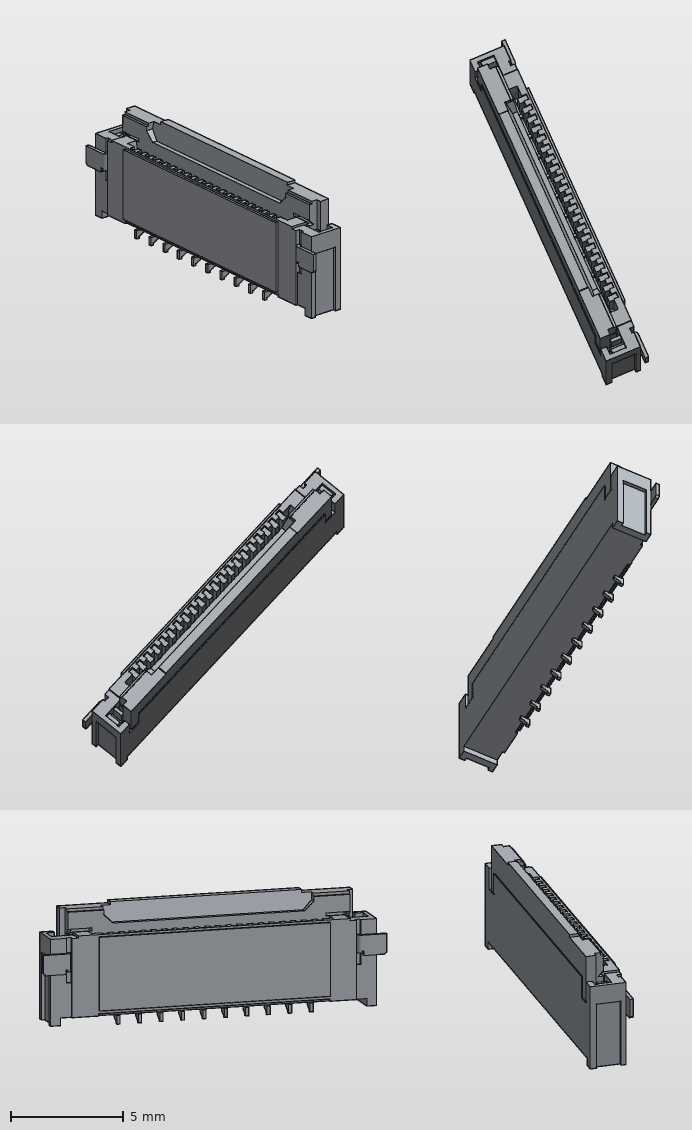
import cadquery as cq


HOUSING_HALF = 7.6
HOUSING_BACK = 1.9
BLOCK_FRONT = 0.22
HOUSING_BOTTOM = 0.4
BLOCK_TOP = 4.02
FOOT_BOTTOM = 0.05
FOOT_INNER = 7.14

WALL_HALF = 6.63
WALL_FRONT = 0.12
WALL_TOP_HALF = 6.34
WALL_TOP = 4.12
PAD_BACK = 1.0
PAD_CHAMFER = 0.1

PLATE_HALF = 5.38
PLATE_BOTTOM = 0.65
RELIEF_TOP = 0.5
RELIEF_DEPTH = 0.1

END_RECESS_FRONT = 0.445
END_RECESS_BACK = 1.61
END_RECESS_TOP = 3.14
END_RECESS_DEPTH = 0.15

POCKET_OUTER = 7.38
POCKET_FRONT = 0.82
POCKET_BACK = 1.61
POCKET_FLOOR = 3.0
LEDGE_INNER = 7.13
LEDGE_BACK = 1.46
LEDGE_TOP = 3.8
RAMP_FOOT = 6.97
RAMP_FOOT_Z = 3.5
GAP_OUTER = 7.0
RIB_OUTER = 6.85
RIB_INNER = 6.69
RIB_BACK = 1.31
RIB_TOP = 3.8

SLOT_HALF = 5.63
SLOT_FRONT = 0.45
SLOT_BACK = 0.88
SLOT_STEP = 0.69
SLOT_FLOOR = 2.5
SLOT_STEP_FLOOR = 3.0
SLOT_LEDGE_TOP = 3.3
SLOT_FLOOR_HALF = 5.5
SLOT_TAPER_BOTTOM = 3.6

CONTACT_PITCH = 0.5
CONTACT_COUNT = 21
CONTACT_WIDTH = 0.26
CONTACT_FRONT = 0.22
CONTACT_BACK = 0.66
CONTACT_TOP = 3.95
BEAM_WIDTH = 0.15
BEAM_TOP = 3.3
TAIL_COUNT = 10
TAIL_PITCH = 2 * CONTACT_PITCH
TAIL_WIDTH = 0.15
TAIL_THICKNESS = 0.15
TAIL_BACK = 0.45
TAIL_BEND_Z = 0.08

BAR_HALF = 6.83
BAR_FRONT_HALF = 6.58
BAR_BACK = 1.85
BAR_SHOULDER = 1.37
BAR_FRONT = 0.95
BAR_TOP = 5.17
BAR_STEP_DEPTH = 0.13
BAR_STEP_Z = 5.04
RIDGE_HALF = 4.46
RIDGE_TOP = 5.3
SCOOP_HALF = 4.9
SCOOP_BOTTOM = 4.42
SCOOP_CORNER_Z = 4.84
SCOOP_BOTTOM_Y = 1.19
SCOOP_TOP_Y = 1.42
NOTCH_INNER = 5.46
NOTCH_STEP = 6.42
NOTCH_TOP = 4.26

TAB_OUTER = 8.0
TAB_BEND = 6.86
TAB_BOTTOM = 2.42
TAB_TOP = 3.35
TAB_THICKNESS = 0.17
TAB_CHAMFER = 0.1
TAB_RELIEF = 6.95
TAB_RELIEF_TOP = 2.62
TAB_ROOT_BOTTOM = 2.53
TAB_SLOT_BOTTOM = 1.98
TAB_SLOT_BACK = 0.33


def box(x0, x1, y0, y1, z0, z1):
    return cq.Workplane("XY").box(x1 - x0, y1 - y0, z1 - z0, centered=False).translate((x0, y0, z0))


def both_ends(shape):
    return shape.union(shape.mirror("YZ"))


def wide_box(half, y0, y1, z0, z1):
    return box(-half, half, y0, y1, z0, z1)


def profile_along_x(points, x0, x1):
    """Extrude an outline of (y, z) points from x0 to x1."""
    return cq.Workplane("YZ").polyline(points).close().extrude(x1 - x0).translate((x0, 0, 0))


def profile_along_y(points, y0, y1):
    """Extrude an outline of (x, z) points from y0 to y1."""
    return cq.Workplane("XZ").polyline(points).close().extrude(y0 - y1).translate((0, y0, 0))


def row(count, pitch):
    return [(i - (count - 1) / 2) * pitch for i in range(count)]


def make_housing():
    body = wide_box(HOUSING_HALF, BLOCK_FRONT, HOUSING_BACK, HOUSING_BOTTOM, BLOCK_TOP)
    foot = box(-HOUSING_HALF, -FOOT_INNER, BLOCK_FRONT, HOUSING_BACK, FOOT_BOTTOM, HOUSING_BOTTOM)
    wall = wide_box(WALL_HALF, WALL_FRONT, HOUSING_BACK, HOUSING_BOTTOM, BLOCK_TOP)
    plate = wide_box(PLATE_HALF, 0, WALL_FRONT, PLATE_BOTTOM, BLOCK_TOP)
    body = body.union(both_ends(foot)).union(wall).union(plate)
    relief = wide_box(PLATE_HALF, 0, WALL_FRONT + RELIEF_DEPTH, HOUSING_BOTTOM, RELIEF_TOP)
    end_recess = box(
        -HOUSING_HALF, -HOUSING_HALF + END_RECESS_DEPTH,
        END_RECESS_FRONT, END_RECESS_BACK, FOOT_BOTTOM, END_RECESS_TOP,
    )
    return body.cut(relief).cut(both_ends(end_recess))


def make_pivot_pocket():
    """Pocket beside the actuator, with a ramped outer ledge and a rib at its front."""
    pocket = box(-POCKET_OUTER, -WALL_TOP_HALF, POCKET_FRONT, POCKET_BACK, POCKET_FLOOR, BLOCK_TOP)
    gap = box(-GAP_OUTER, -WALL_TOP_HALF, POCKET_FRONT, HOUSING_BACK, POCKET_FLOOR, BLOCK_TOP)
    ledge = profile_along_y(
        [
            (-POCKET_OUTER, POCKET_FLOOR),
            (-POCKET_OUTER, LEDGE_TOP),
            (-LEDGE_INNER, LEDGE_TOP),
            (-RAMP_FOOT, RAMP_FOOT_Z),
            (-RAMP_FOOT, POCKET_FLOOR),
        ],
        POCKET_FRONT, LEDGE_BACK,
    )
    back_ramp = profile_along_y(
        [(-POCKET_OUTER, POCKET_FLOOR), (-POCKET_OUTER, LEDGE_TOP), (-RAMP_FOOT, POCKET_FLOOR)],
        LEDGE_BACK, POCKET_BACK,
    )
    rib = box(-RIB_OUTER, -RIB_INNER, POCKET_FRONT, RIB_BACK, POCKET_FLOOR, RIB_TOP)
    return pocket.union(gap).cut(ledge).cut(back_ramp).cut(rib)


def make_wall_top():
    """Raised top of the front wall, chamfered along its back edge."""
    return profile_along_x(
        [
            (WALL_FRONT, BLOCK_TOP - PAD_CHAMFER),
            (WALL_FRONT, WALL_TOP),
            (PAD_BACK, WALL_TOP),
            (PAD_BACK + PAD_CHAMFER, WALL_TOP - PAD_CHAMFER),
            (PAD_BACK + PAD_CHAMFER, BLOCK_TOP - PAD_CHAMFER),
        ],
        -WALL_TOP_HALF, WALL_TOP_HALF,
    )


def make_cable_slot():
    """Stepped slot behind the front wall, with its ends flared outward at the mouth."""
    front = wide_box(SLOT_FLOOR_HALF, SLOT_FRONT, SLOT_STEP, SLOT_FLOOR, WALL_TOP)
    back = wide_box(SLOT_FLOOR_HALF, SLOT_STEP, SLOT_BACK, SLOT_STEP_FLOOR, WALL_TOP)
    ledge = wide_box(SLOT_FLOOR_HALF, SLOT_BACK, BAR_FRONT, SLOT_LEDGE_TOP, WALL_TOP)
    mouth = profile_along_y(
        [
            (-SLOT_HALF, WALL_TOP),
            (-SLOT_FLOOR_HALF, SLOT_TAPER_BOTTOM),
            (SLOT_FLOOR_HALF, SLOT_TAPER_BOTTOM),
            (SLOT_HALF, WALL_TOP),
        ],
        SLOT_FRONT, BAR_FRONT,
    )
    return front.union(back).union(ledge).union(mouth)


def make_actuator():
    bar = wide_box(BAR_HALF, BAR_SHOULDER, BAR_BACK, POCKET_FLOOR, BAR_TOP)
    front = wide_box(BAR_FRONT_HALF, BAR_FRONT, BAR_SHOULDER, POCKET_FLOOR, BAR_TOP)
    ridge = wide_box(RIDGE_HALF, BAR_FRONT, BAR_BACK, BAR_TOP, RIDGE_TOP)
    step = wide_box(BAR_FRONT_HALF, BAR_FRONT, BAR_FRONT + BAR_STEP_DEPTH, BAR_STEP_Z, RIDGE_TOP)
    notch = box(-NOTCH_STEP, -NOTCH_INNER, BAR_FRONT, BAR_SHOULDER, BLOCK_TOP, NOTCH_TOP)
    notch_wedge = profile_along_x(
        [
            (BAR_FRONT, BLOCK_TOP),
            (BAR_FRONT, NOTCH_TOP),
            (BAR_FRONT + NOTCH_TOP - BLOCK_TOP, BLOCK_TOP),
        ],
        -BAR_FRONT_HALF, -NOTCH_STEP,
    )
    notch = notch.union(notch_wedge)
    scoop_outline = profile_along_y(
        [
            (-SCOOP_HALF, RIDGE_TOP),
            (-SCOOP_HALF, SCOOP_CORNER_Z),
            (-RIDGE_HALF, SCOOP_BOTTOM),
            (RIDGE_HALF, SCOOP_BOTTOM),
            (SCOOP_HALF, SCOOP_CORNER_Z),
            (SCOOP_HALF, RIDGE_TOP),
        ],
        BAR_FRONT, BAR_BACK,
    )
    scoop_slope = profile_along_x(
        [
            (BAR_FRONT, SCOOP_BOTTOM),
            (SCOOP_BOTTOM_Y, SCOOP_BOTTOM),
            (SCOOP_TOP_Y, RIDGE_TOP),
            (BAR_FRONT, RIDGE_TOP),
        ],
        -SCOOP_HALF, SCOOP_HALF,
    )
    scoop = scoop_outline.intersect(scoop_slope)
    return bar.union(front).union(ridge).cut(step).cut(both_ends(notch)).cut(scoop)


def make_contact(x):
    half = CONTACT_WIDTH / 2
    return box(x - half, x + half, CONTACT_FRONT, CONTACT_BACK, SLOT_FLOOR, CONTACT_TOP)


def make_contact_notch(x):
    half = CONTACT_WIDTH / 2
    return box(x - half, x + half, CONTACT_FRONT, SLOT_FRONT, CONTACT_TOP, WALL_TOP)


def make_beam(x):
    half = BEAM_WIDTH / 2
    return box(x - half, x + half, SLOT_STEP, SLOT_BACK, SLOT_STEP_FLOOR, BEAM_TOP)


def make_tail(x):
    """Solder tail: an arm under the housing that slopes down to a short leg at its front end."""
    return profile_along_x(
        [
            (0, 0),
            (0, HOUSING_BOTTOM),
            (TAIL_BACK, HOUSING_BOTTOM),
            (TAIL_BACK, HOUSING_BOTTOM - TAIL_THICKNESS),
            (TAIL_THICKNESS, TAIL_BEND_Z),
            (TAIL_THICKNESS, 0),
        ],
        x - TAIL_WIDTH / 2, x + TAIL_WIDTH / 2,
    )


def make_tab_slot():
    return box(-TAB_BEND, -WALL_HALF, WALL_FRONT, TAB_SLOT_BACK, TAB_SLOT_BOTTOM, BLOCK_TOP)


def make_solder_tab():
    """Flat tab with a chamfered lower corner, bent back into its slot at the inner end."""
    blade = profile_along_y(
        [
            (-TAB_OUTER, TAB_TOP),
            (-TAB_OUTER, TAB_BOTTOM + TAB_CHAMFER),
            (-TAB_OUTER + TAB_CHAMFER, TAB_BOTTOM),
            (-TAB_RELIEF, TAB_BOTTOM),
            (-TAB_RELIEF, TAB_RELIEF_TOP),
            (-TAB_BEND, TAB_RELIEF_TOP),
            (-TAB_BEND, TAB_TOP),
        ],
        0, TAB_THICKNESS,
    )
    root = (
        cq.Workplane("XY")
        .workplane(offset=TAB_ROOT_BOTTOM)
        .moveTo(-TAB_BEND, 0)
        .radiusArc((-TAB_BEND + TAB_THICKNESS, TAB_THICKNESS), -TAB_THICKNESS)
        .lineTo(-TAB_BEND + TAB_THICKNESS, TAB_SLOT_BACK)
        .lineTo(-TAB_BEND, TAB_SLOT_BACK)
        .close()
        .extrude(TAB_TOP - TAB_ROOT_BOTTOM)
    )
    return blade.union(root)


housing = make_housing().cut(both_ends(make_pivot_pocket()))
housing = housing.union(make_wall_top()).cut(make_cable_slot()).cut(both_ends(make_tab_slot()))
result = housing.union(make_actuator()).union(both_ends(make_solder_tab()))
for contact_x in row(CONTACT_COUNT, CONTACT_PITCH):
    result = result.cut(make_contact_notch(contact_x)).union(make_contact(contact_x))
for tail_x in row(TAIL_COUNT, TAIL_PITCH):
    result = result.union(make_beam(tail_x)).union(make_tail(tail_x))